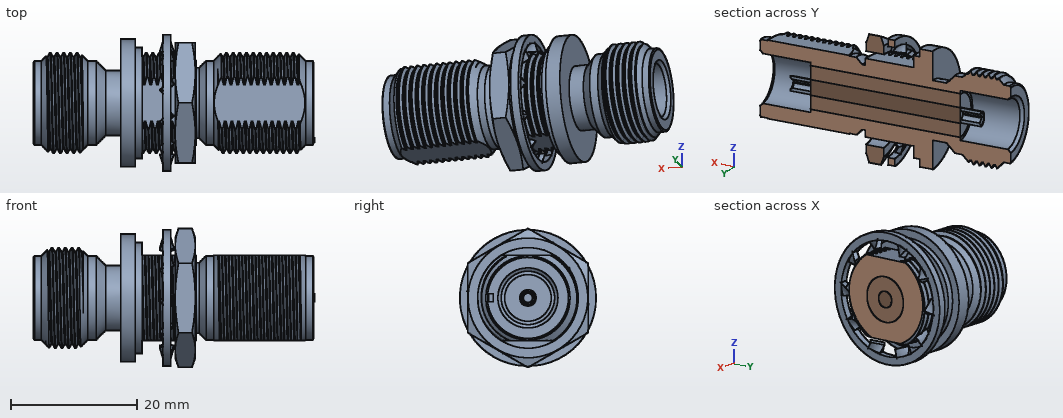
import cadquery as cq
import math


barrel_radius = 6.65
neck_radius = 5.15
flange_radius = 10.15
shoulder_radius = 8.8
groove_radius = 5.6
mouth_radius = 4.75
bore_radius = 4.22
insulator_radius = 3.7

overall_length = 44.45
housing_length = 44.3
left_barrel_start = 1.25
left_barrel_end = 9.9
flange_start = 13.8
flange_end = 16.15
shoulder_end = 17.2
middle_thread_end = 25.75
groove_end = 26.23
right_thread_start = 28.5
right_thread_end = 43.03
left_thread_start = left_barrel_start
left_thread_end = 8.6
bore_depth = 8.9
rim_chamfer_length = 0.2
rim_chamfer_height = 0.25

thread_radius = 7.95
ten_turn_length = 10.6
thread_pitch = ten_turn_length / 10
thread_depth = 0.62
thread_root_flat = 0.2
thread_flank_angle = 30
cutter_overshoot = 0.1
left_thread_crest = 2.65
right_thread_crest = 17.82
thread_runout = thread_radius - barrel_radius
flat_height = 6.75

mark_height = overall_length - housing_length
mark_width_y = 0.7
mark_width_z = 1.25
mark_y = -5.85

contact_radius = 1.3
contact_recess = 5.35
contact_hole_diameter = 1.45
contact_hole_radius = contact_hole_diameter / 2
contact_hole_depth = 3.55
contact_countersink_radius = 1.02
contact_slot_width = 0.2

washer_radius = 10.8
washer_ring_inner_radius = 9.45
washer_start = 20.45
washer_thickness = 1.3
tooth_count = 10
tooth_tip_radius = 8.1
tooth_root_embedding = 0.45
tooth_root_radius = washer_ring_inner_radius + tooth_root_embedding
tooth_width = 2.3
tooth_tip_thickness = 0.95
tooth_root_thickness = 1.1
tooth_twist = 45

nut_corner_width = 22.0
nut_corner_radius = nut_corner_width / 2
nut_start = 22.4
nut_end = 25.6
nut_chamfer_length = 0.55
nut_face_radius = 9.45


def revolved(points):
    """Solid of revolution about X from an (x, radius) outline."""
    return cq.Workplane("XY").polyline(points).close().revolve(360, (0, 0, 0), (1, 0, 0))


def cylinder(x_start, x_end, radius):
    return cq.Workplane("YZ", origin=(x_start, 0, 0)).circle(radius).extrude(x_end - x_start)


def groove_turn():
    """Cutter for one turn of the V groove, starting on the -Z side at x = 0."""
    root_radius = thread_radius - thread_depth
    outer_radius = thread_radius + cutter_overshoot
    root_half = thread_root_flat / 2
    outer_half = root_half + (outer_radius - root_radius) * math.tan(math.radians(thread_flank_angle))
    turn = (
        cq.Workplane("XZ")
        .polyline([
            (root_radius, -root_half),
            (outer_radius, -outer_half),
            (outer_radius, outer_half),
            (root_radius, root_half),
        ])
        .close()
        .sweep(cq.Workplane(cq.Wire.makeHelix(thread_pitch, thread_pitch, root_radius)), isFrenet=True)
    )
    return turn.rotate((0, 0, 0), (0, 1, 0), 90)


def threaded_section(x_start, x_end, crest, tapered_start):
    """Threaded cylinder, tapered at its right end and, if asked, at its left end."""
    points = [(x_start, 0)]
    if tapered_start:
        points += [(x_start, barrel_radius), (x_start + thread_runout, thread_radius)]
    else:
        points += [(x_start, thread_radius)]
    points += [(x_end - thread_runout, thread_radius), (x_end, barrel_radius), (x_end, 0)]
    section = revolved(points)

    groove_on_minus_z = crest + thread_pitch / 4
    first_turn = math.floor((x_start - groove_on_minus_z) / thread_pitch) - 1
    last_turn = math.ceil((x_end - groove_on_minus_z) / thread_pitch)
    turn = groove_turn()
    turns = [
        turn.translate((groove_on_minus_z + i * thread_pitch, 0, 0)).val()
        for i in range(first_turn, last_turn + 1)
    ]
    grooved = section.val().cut(*turns[0::2]).cut(*turns[1::2])
    return cq.Workplane(grooved)


def housing_core():
    neck_start = left_barrel_end + barrel_radius - neck_radius
    right_barrel_start = groove_end + barrel_radius - groove_radius
    rim_radius = barrel_radius - rim_chamfer_height
    return revolved([
        (0, 0),
        (0, rim_radius),
        (rim_chamfer_length, barrel_radius),
        (left_barrel_end, barrel_radius),
        (neck_start, neck_radius),
        (flange_start, neck_radius),
        (flange_start, flange_radius),
        (flange_end, flange_radius),
        (flange_end, shoulder_radius),
        (shoulder_end, shoulder_radius),
        (shoulder_end, groove_radius),
        (groove_end, groove_radius),
        (right_barrel_start, barrel_radius),
        (housing_length - rim_chamfer_length, barrel_radius),
        (housing_length, rim_radius),
        (housing_length, 0),
    ])


def housing_bore():
    """Chamfered socket at both ends, joined by the narrower insulator bore."""
    mouth_chamfer = mouth_radius - bore_radius
    return revolved([
        (0, 0),
        (0, mouth_radius),
        (mouth_chamfer, bore_radius),
        (bore_depth, bore_radius),
        (bore_depth, insulator_radius),
        (housing_length - bore_depth, insulator_radius),
        (housing_length - bore_depth, bore_radius),
        (housing_length - mouth_chamfer, bore_radius),
        (housing_length, mouth_radius),
        (housing_length, 0),
    ])


def thread_flats():
    """Blocks that remove the threads above and below the two flats."""
    length = housing_length - shoulder_end
    depth = shoulder_radius - flat_height
    block = cq.Workplane("XY").box(length, 2 * shoulder_radius, depth, centered=(False, True, False))
    upper = block.translate((shoulder_end, 0, flat_height))
    return upper.union(upper.mirror("XY"))


def end_mark():
    plate = cq.Workplane("YZ", origin=(housing_length, 0, 0)).center(mark_y, 0)
    return plate.rect(mark_width_y, mark_width_z).extrude(mark_height)


def make_housing():
    left = threaded_section(left_thread_start, left_thread_end, left_thread_crest, True)
    middle = threaded_section(shoulder_end, middle_thread_end, right_thread_crest, False)
    right = threaded_section(right_thread_start, right_thread_end, right_thread_crest, True)
    flats = thread_flats()
    body = housing_core().union(left, clean=False)
    for section in (middle, right):
        body = body.union(section.cut(flats, clean=False), clean=False)
    return body.cut(housing_bore(), clean=False).union(end_mark(), clean=False)


def make_insulator():
    """Dielectric plug that fills the narrow bore around the contact."""
    return cylinder(bore_depth, housing_length - bore_depth, insulator_radius).cut(
        cylinder(bore_depth, housing_length - bore_depth, contact_radius)
    )


def contact_socket():
    """Countersunk hole with crossed slots for the left tip of the contact."""
    countersink = contact_countersink_radius - contact_hole_radius
    hole = revolved([
        (contact_recess, 0),
        (contact_recess, contact_countersink_radius),
        (contact_recess + countersink, contact_hole_radius),
        (contact_recess + contact_hole_depth, contact_hole_radius),
        (contact_recess + contact_hole_depth, 0),
    ])
    slot = cq.Workplane("XY", origin=(contact_recess, 0, 0)).box(
        contact_hole_depth, 2 * contact_radius, contact_slot_width, centered=(False, True, True)
    )
    return hole.union(slot).union(slot.rotate((0, 0, 0), (1, 0, 0), 90))


def make_contact():
    socket = contact_socket()
    opposite_socket = socket.mirror("YZ", (housing_length / 2, 0, 0))
    rod = cylinder(contact_recess, housing_length - contact_recess, contact_radius)
    return rod.cut(socket).cut(opposite_socket)


def washer_tooth():
    """Tooth on the +Y side, inside the ring at its root and twisted about its radius at its tip."""
    middle = washer_start + washer_thickness / 2
    tip = cq.Plane(origin=(middle, tooth_tip_radius, 0), xDir=(0, 0, 1), normal=(0, 1, 0))
    return (
        cq.Workplane(tip)
        .transformed(rotate=(0, 0, -tooth_twist))
        .rect(tooth_width, tooth_tip_thickness)
        .transformed(rotate=(0, 0, tooth_twist), offset=(0, 0, tooth_root_radius - tooth_tip_radius))
        .rect(tooth_width, tooth_root_thickness)
        .loft(ruled=True)
    )


def make_washer():
    washer_end = washer_start + washer_thickness
    washer = cylinder(washer_start, washer_end, washer_radius).cut(
        cylinder(washer_start, washer_end, washer_ring_inner_radius)
    )
    tooth = washer_tooth()
    for i in range(tooth_count):
        washer = washer.union(tooth.rotate((0, 0, 0), (1, 0, 0), i * 360 / tooth_count))
    return washer


def make_nut():
    hexagon = (
        cq.Workplane("YZ", origin=(nut_start, 0, 0))
        .transformed(rotate=(0, 0, 90))
        .polygon(6, 2 * nut_corner_radius)
        .extrude(nut_end - nut_start)
    )
    chamfered_blank = revolved([
        (nut_start, 0),
        (nut_start, nut_face_radius),
        (nut_start + nut_chamfer_length, nut_corner_radius),
        (nut_end - nut_chamfer_length, nut_corner_radius),
        (nut_end, nut_face_radius),
        (nut_end, 0),
    ])
    return hexagon.intersect(chamfered_blank).cut(cylinder(nut_start, nut_end, thread_radius))


housing = make_housing()
insulator = make_insulator()
contact = make_contact()
washer = make_washer()
nut = make_nut()

result = cq.Compound.makeCompound([
    housing.val(), insulator.val(), contact.val(), washer.val(), nut.val(),
])